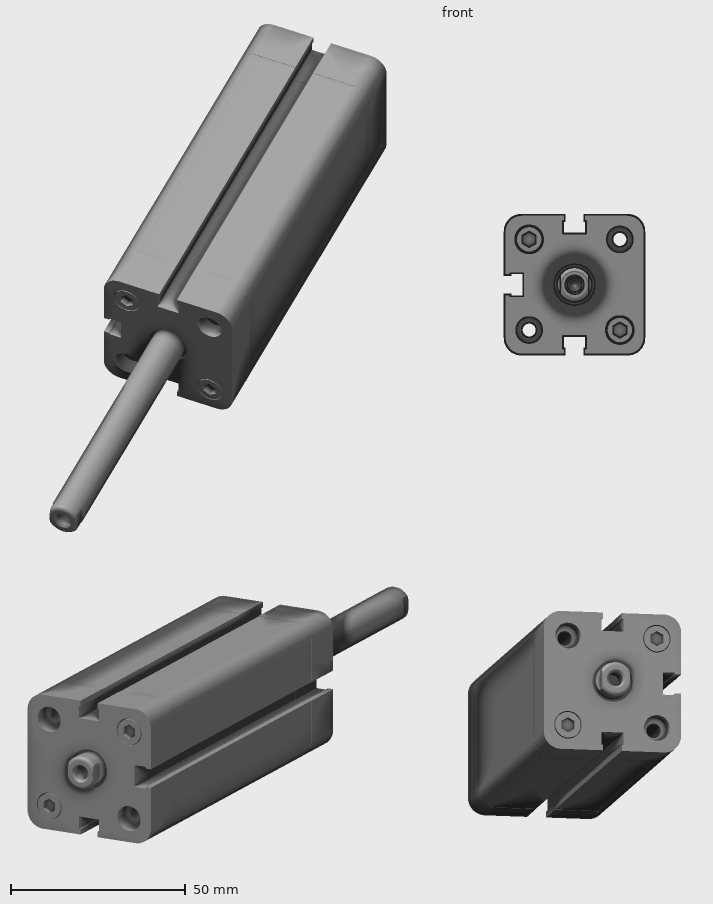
import cadquery as cq
import math


total_length = 190.5
body_length = 110.0
rear_rod_length = 5.3
cap_length = 12.8

cap_width = 40.0
tube_width = 39.8
cap_corner_radius = 5.0
tube_corner_radius = 4.5

slot_neck_width = 5.5
slot_neck_depth = 1.7
slot_inner_width = 6.5
slot_depth = 5.3

hole_offset = 13.0
through_diameter = 4.2
counterbore_diameter = 7.5
counterbore_depth = 4.8
screw_seat_diameter = 8.0
screw_head_diameter = 7.5
screw_head_height = 3.8
socket_across_flats = 3.8
socket_depth = 2.0

rod_diameter = 10.0
bearing_diameter = 11.6
bearing_recess_depth = 1.0
flat_spacing = 8.0
flat_length = 3.6
shoulder_length = (rod_diameter - flat_spacing) / 2
rod_end_radius = 1.1
bore_mouth_diameter = 5.3
bore_diameter = 4.2
bore_depth = 11.5
drill_tip_angle = math.radians(59)

front_face = 0.0
rear_face = front_face + body_length
rod_rear_end = rear_face + rear_rod_length
rod_front_end = rod_rear_end - total_length


def cylinder(diameter, y_start, y_end, x=0, z=0):
    """Cylinder along Y between two Y positions."""
    start = cq.Vector(x, y_start, z)
    return cq.Workplane("XY").add(
        cq.Solid.makeCylinder(diameter / 2, y_end - y_start, start, cq.Vector(0, 1, 0))
    )


def t_slot(y_start, length, width, angle):
    """T-slot cutter for the top face of a block, turned about the body axis."""
    top = width / 2
    neck_bottom = top - slot_neck_depth
    floor = top - slot_depth
    half_neck = slot_neck_width / 2
    half_inner = slot_inner_width / 2
    outline = [
        (-half_neck, top),
        (-half_neck, neck_bottom),
        (-half_inner, neck_bottom),
        (-half_inner, floor),
        (half_inner, floor),
        (half_inner, neck_bottom),
        (half_neck, neck_bottom),
        (half_neck, top),
    ]
    slot = cq.Workplane("XZ", origin=(0, y_start, 0)).polyline(outline).close().extrude(-length)
    return slot.rotate((0, 0, 0), (0, 1, 0), angle)


def slotted_block(y_start, length, width, corner_radius):
    """Square block with rounded corners and T-slots on its top, bottom and left faces."""
    block = cq.Workplane("XZ", origin=(0, y_start, 0)).rect(width, width).extrude(-length)
    block = block.edges("|Y").fillet(corner_radius)
    for slot_angle in (0, 180, -90):
        block = block.cut(t_slot(y_start, length, width, slot_angle))
    return block


def mirror_to_rear(shape):
    """Copy of a front-end feature on the rear end of the body."""
    return shape.mirror("XZ").translate((0, front_face + rear_face, 0))


def screw(x, z):
    """Socket head screw sunk flush in its seat in the front cap."""
    head = cylinder(screw_head_diameter, front_face, front_face + screw_head_height, x, z)
    socket_diameter = socket_across_flats / math.cos(math.pi / 6)
    socket = (
        cq.Workplane("XZ", origin=(x, front_face, z))
        .polygon(6, socket_diameter)
        .extrude(-socket_depth)
        .rotate((x, 0, z), (x, 1, z), 30)
    )
    return head.cut(socket)


def make_body():
    tube_length = body_length - 2 * cap_length
    tube = slotted_block(front_face + cap_length, tube_length, tube_width, tube_corner_radius)
    front_cap = slotted_block(front_face, cap_length, cap_width, cap_corner_radius)
    rear_cap = slotted_block(rear_face - cap_length, cap_length, cap_width, cap_corner_radius)
    body = tube.union(front_cap).union(rear_cap)

    recess = cylinder(bearing_diameter, front_face, front_face + bearing_recess_depth)
    body = body.cut(recess).cut(mirror_to_rear(recess))

    for side in (-1, 1):
        x = side * hole_offset
        z = x
        counterbore = cylinder(counterbore_diameter, front_face, front_face + counterbore_depth, x, z)
        body = body.cut(cylinder(through_diameter, front_face, rear_face, x, z))
        body = body.cut(counterbore).cut(mirror_to_rear(counterbore))

        seat = cylinder(screw_seat_diameter, front_face, front_face + screw_head_height, x, -z)
        head = screw(x, -z)
        body = body.cut(seat).cut(mirror_to_rear(seat))
        body = body.union(head).union(mirror_to_rear(head))
    return body


def rod_tip_cutter():
    """Flats and bore at the front end of the rod, as one cutter."""
    flat_end = rod_front_end + flat_length
    half_spacing = flat_spacing / 2
    outline = [
        (half_spacing, rod_front_end),
        (half_spacing, flat_end),
        (rod_diameter / 2, flat_end + shoulder_length),
        (rod_diameter / 2, rod_front_end),
    ]
    flat = cq.Workplane("XY").polyline(outline).close().extrude(rod_diameter / 2, both=True)

    mouth_depth = (bore_mouth_diameter - bore_diameter) / 2
    tip_depth = bore_depth + bore_diameter / 2 / math.tan(drill_tip_angle)
    bore_outline = [
        (0, rod_front_end),
        (bore_mouth_diameter / 2, rod_front_end),
        (bore_diameter / 2, rod_front_end + mouth_depth),
        (bore_diameter / 2, rod_front_end + bore_depth),
        (0, rod_front_end + tip_depth),
    ]
    bore = cq.Workplane("XY").polyline(bore_outline).close().revolve(360, (0, 0), (0, 1))
    return flat.union(flat.mirror("YZ")).union(bore)


def make_rod():
    rod = cylinder(rod_diameter, rod_front_end, rod_rear_end)
    rod = rod.faces("<Y or >Y").edges().fillet(rod_end_radius)
    tip = rod_tip_cutter()
    rear_tip = tip.mirror("XZ").translate((0, rod_front_end + rod_rear_end, 0))
    return rod.cut(tip).cut(rear_tip)


result = make_body().union(make_rod())